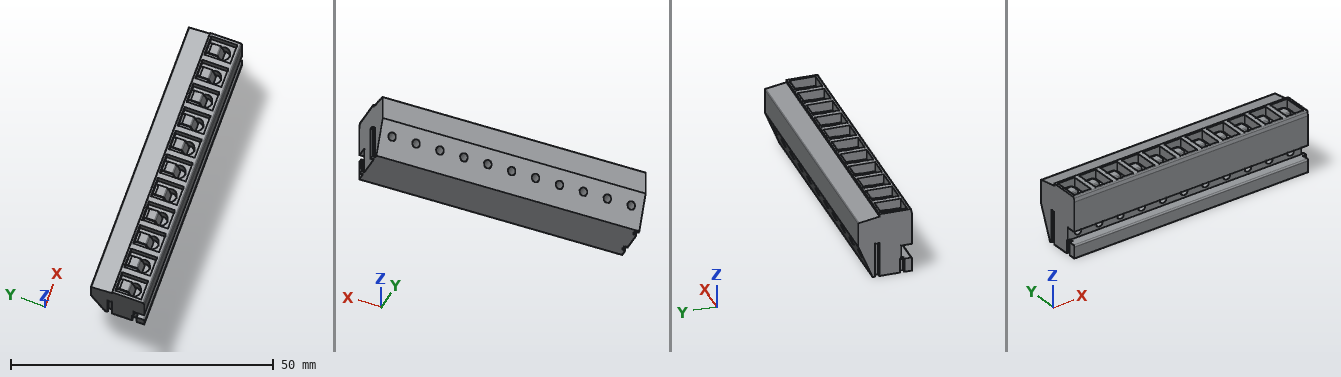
import cadquery as cq
import math

POSITIONS = 11
PITCH = 5.0
LENGTH = POSITIONS * PITCH
DEPTH = 10.8
HEIGHT = 13.5

SHOULDER_DEPTH = 6.5
SHOULDER_HEIGHT = 13.0
ROOF_HEIGHT = 12.3
ROOF_RADIUS = 0.15
BACK_WALL_BOTTOM = 7.1
BASE_DEPTH = 7.9

BEVEL_BOTTOM = 12.55
BEVEL_INSET = 0.2
TOP_RADIUS = 0.25
CHANNEL_DEPTH = 2.2
CHANNEL_TOP = 5.85
CHANNEL_BOTTOM = 2.9
LIP_RADIUS = 0.15
FOOT_RADIUS = 0.3

BORE_DIAMETER = 1.55
BORE_HEIGHT = 4.22

POCKET_WIDTH = 3.9
POCKET_FRONT = 0.8
POCKET_BACK = 6.05
POCKET_FLOOR = HEIGHT - 2.0

WELL_DIAMETER = 2.6
WELL_CENTER = 2.9
WELL_FLOOR = 8.9

TONGUE_WIDTH = 2.0
TONGUE_OFFSET = 0.08
TONGUE_TOP = POCKET_FLOOR + 0.6
TONGUE_FLAT_BACK = 5.55
TONGUE_FLAT_FRONT = 3.98
TONGUE_BACK_DROP = 0.2
TONGUE_BEND_RADIUS = 0.25
TONGUE_LEAN = math.radians(15)

RAIL_REACH = 0.7
RAIL_NECK = 0.15
RAIL_WIDEST = 0.4
RAIL_NECK_WIDTH = 0.7
RAIL_HEAD_WIDTH = 1.0
RAIL_TIP_WIDTH = 0.8
GROOVE_DEPTH = 0.75
GROOVE_THROAT = 0.2
REAR_RAIL_Y = 7.0
REAR_RAIL_HEIGHT = 7.2
FRONT_RAIL_Y = 2.0
FRONT_RAIL_HEIGHT = CHANNEL_BOTTOM


def housing():
    """Extrude the cross-section along X and round its exposed long edges."""
    roof_edge = (DEPTH, ROOF_HEIGHT)
    top_edge = (BEVEL_INSET, HEIGHT)
    lip_edge = (0, CHANNEL_TOP)
    foot_edge = (0, CHANNEL_BOTTOM)
    profile = [
        (0, 0),
        (BASE_DEPTH, 0),
        (DEPTH, BACK_WALL_BOTTOM),
        roof_edge,
        (SHOULDER_DEPTH, SHOULDER_HEIGHT),
        (SHOULDER_DEPTH, HEIGHT),
        top_edge,
        (0, BEVEL_BOTTOM),
        lip_edge,
        (CHANNEL_DEPTH, CHANNEL_TOP),
        (CHANNEL_DEPTH, CHANNEL_BOTTOM),
        foot_edge,
    ]
    body = cq.Workplane("YZ").polyline(profile).close().extrude(LENGTH)
    rounded_edges = (
        (roof_edge, ROOF_RADIUS),
        (top_edge, TOP_RADIUS),
        (lip_edge, LIP_RADIUS),
        (foot_edge, FOOT_RADIUS),
    )
    for (y, z), radius in rounded_edges:
        body = body.edges(cq.NearestToPointSelector((LENGTH / 2, y, z))).fillet(radius)
    return body


def pocket(x):
    """Rectangular pocket around x with the round wire well in its floor."""
    recess = cq.Workplane("XY").box(
        POCKET_WIDTH, POCKET_BACK - POCKET_FRONT, HEIGHT - POCKET_FLOOR, centered=(True, False, False)
    )
    recess = recess.translate((x, POCKET_FRONT, POCKET_FLOOR))
    well = (
        cq.Workplane("XY", origin=(x, WELL_CENTER, WELL_FLOOR))
        .circle(WELL_DIAMETER / 2)
        .extrude(POCKET_FLOOR - WELL_FLOOR)
    )
    return recess.union(well)


def tongue(x):
    """Bent spring tongue of the position at x, reaching down to the well floor."""
    bend_end_angle = math.pi / 2 - TONGUE_LEAN
    bend_center_z = TONGUE_TOP - TONGUE_BEND_RADIUS

    def on_bend(angle):
        return (
            TONGUE_FLAT_FRONT - TONGUE_BEND_RADIUS * math.sin(angle),
            bend_center_z + TONGUE_BEND_RADIUS * math.cos(angle),
        )

    bend_end = on_bend(bend_end_angle)
    toe_y = bend_end[0] - (bend_end[1] - WELL_FLOOR) * math.tan(TONGUE_LEAN)
    return (
        cq.Workplane("YZ", origin=(x + TONGUE_OFFSET - TONGUE_WIDTH / 2, 0, 0))
        .moveTo(POCKET_BACK, WELL_FLOOR)
        .lineTo(POCKET_BACK, TONGUE_TOP - TONGUE_BACK_DROP)
        .lineTo(TONGUE_FLAT_BACK, TONGUE_TOP)
        .lineTo(TONGUE_FLAT_FRONT, TONGUE_TOP)
        .threePointArc(on_bend(bend_end_angle / 2), bend_end)
        .lineTo(toe_y, WELL_FLOOR)
        .close()
        .extrude(TONGUE_WIDTH)
    )


def bore(x):
    """Round passage through the whole depth at x."""
    return (
        cq.Workplane("XZ", origin=(x, 0, BORE_HEIGHT))
        .circle(BORE_DIAMETER / 2)
        .extrude(-DEPTH)
    )


def rail(y, height):
    """Necked rail standing on the +X end, widening and then narrowing outwards."""
    neck_half = RAIL_NECK_WIDTH / 2
    head_half = RAIL_HEAD_WIDTH / 2
    tip_half = RAIL_TIP_WIDTH / 2
    outline = [
        (0, -neck_half),
        (RAIL_NECK, -neck_half),
        (RAIL_WIDEST, -head_half),
        (RAIL_REACH, -tip_half),
        (RAIL_REACH, tip_half),
        (RAIL_WIDEST, head_half),
        (RAIL_NECK, neck_half),
        (0, neck_half),
    ]
    return cq.Workplane("XY", origin=(LENGTH, y, 0)).polyline(outline).close().extrude(height)


def groove(y, height):
    """Undercut slot in the -X end with a flared mouth, a narrow throat and a wider chamber."""
    throat_half = RAIL_NECK_WIDTH / 2
    wide_half = RAIL_HEAD_WIDTH / 2
    tip_half = RAIL_TIP_WIDTH / 2
    outline = [
        (0, -wide_half),
        (GROOVE_THROAT, -throat_half),
        (RAIL_WIDEST, -wide_half),
        (GROOVE_DEPTH, -tip_half),
        (GROOVE_DEPTH, tip_half),
        (RAIL_WIDEST, wide_half),
        (GROOVE_THROAT, throat_half),
        (0, wide_half),
    ]
    return cq.Workplane("XY", origin=(0, y, 0)).polyline(outline).close().extrude(height)


result = housing()

for index in range(POSITIONS):
    center_x = (index + 0.5) * PITCH
    result = result.cut(pocket(center_x)).union(tongue(center_x)).cut(bore(center_x))

for rail_y, rail_height in ((REAR_RAIL_Y, REAR_RAIL_HEIGHT), (FRONT_RAIL_Y, FRONT_RAIL_HEIGHT)):
    result = result.cut(groove(rail_y, rail_height)).union(rail(rail_y, rail_height))